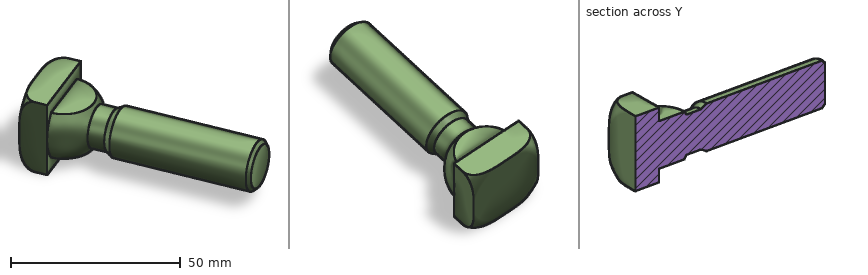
import cadquery as cq
import math

total_length = 72.0
head_width = 25.0
head_thickness = 9.0
shank_diameter = 16.0
neck_diameter = 13.5
neck_end = 24.85
shank_start = 27.0
end_chamfer = 1.15

head_radius = head_width / 2
corner_radius = head_radius * math.sqrt(2)
corner_rounding = corner_radius - head_radius
shank_radius = shank_diameter / 2
neck_radius = neck_diameter / 2


def square_head():
    """Square block whose front corners are rounded about the bolt axis."""
    block = cq.Workplane("YZ").rect(head_width, head_width).extrude(head_thickness)
    rounded_disc = (
        cq.Workplane("YZ")
        .circle(corner_radius)
        .extrude(head_thickness)
        .faces("<X")
        .edges()
        .fillet(corner_rounding)
    )
    return block.intersect(rounded_disc)


def ball_collar():
    """Half ball behind the head, cut flat above and below to the shank diameter."""
    ball = cq.Workplane("XY").sphere(head_radius).translate((head_thickness, 0, 0))
    flat_slab = (
        cq.Workplane("XY")
        .box(head_radius, head_width, shank_diameter, centered=(False, True, True))
        .translate((head_thickness, 0, 0))
    )
    return ball.intersect(flat_slab)


def neck_and_shank():
    """Undercut neck, conical transition and plain shank with a chamfered end."""
    return (
        cq.Workplane("XY")
        .moveTo(head_thickness, 0)
        .lineTo(head_thickness, neck_radius)
        .lineTo(neck_end, neck_radius)
        .lineTo(shank_start, shank_radius)
        .lineTo(total_length - end_chamfer, shank_radius)
        .lineTo(total_length, shank_radius - end_chamfer)
        .lineTo(total_length, 0)
        .close()
        .revolve(360, (0, 0, 0), (1, 0, 0))
    )


result = square_head().union(ball_collar()).union(neck_and_shank())